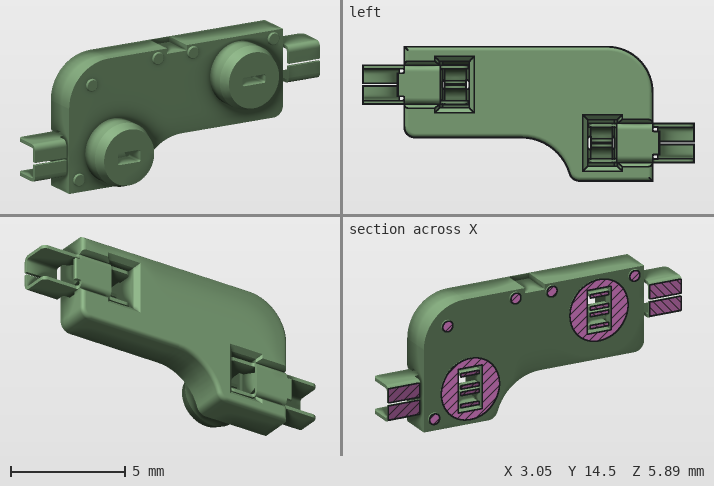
import cadquery as cq
import math


TOTAL_LENGTH = 14.5
TOTAL_HEIGHT = 5.89
TOTAL_DEPTH = 3.05

HOUSING_LENGTH = 10.88
HOUSING_DEPTH = 1.71
LOWER_EDGE_Z = -1.05
BIG_CORNER_RADIUS = 2.0
SMALL_CORNER_RADIUS = 0.48
SWEEP_RADIUS = 2.19
SWEEP_START_Y = 0.3
FACE_EDGE_RADIUS = 0.19
NOTCH_Y = (-0.45, 0.55)
NOTCH_DEPTH = 0.25

SITE_Y = 3.18
SITE_Z = 1.28
BOSS_RADIUS = 1.45
BOSS_TIP_RADIUS = 1.28
BOSS_TAPER = 0.5
PIN_SLOT_CORNER = 0.09

FOOT_RADIUS = 0.29
FOOT_HEIGHT = 0.09
FOOT_CHAMFER = 0.05
FOOT_CENTRES = [(4.95, 2.57), (0.85, 2.57), (-0.93, 2.57), (-4.29, 1.85), (-4.95, -2.38)]

SHEET = 0.16
CONTACT_HALF_WIDTH = 0.85
BEND_RADIUS = 0.28
PLATE_X = 0.09
PAD_X = 1.84
TAIL_EDGE_X = 0.36
WALL_DEPTH_X = 1.19
PLATE_INNER_Y = 3.85
PAD_START_Y = 5.65
CONTACT_INNER_Y = 2.64
OPEN_CORNER_RADIUS = 0.25
NOTCH_FILLET = 0.13
PAD_GAP = 0.12
TIP_END_Y = 5.74
TIP_HALF_WIDTH = 0.51
TIP_CHAMFER = 0.05
SPRING_Y = (2.73, 3.67)
SPRING_GAP = 0.05
SPRING_BOTTOM_X = 2.03
SPRING_TIP_X = 1.33

POCKET_FLOOR_X = 2.06
POCKET_Y = (2.6, 3.75)
POCKET_HALF_WIDTH = 1.02
POCKET_LIP_RADIUS = 0.13
RIM_DEPTH = 0.2
POCKET_LEAD_IN = 0.22
CHANNEL_LEAD_IN = 0.17
NEAR_FLOOR_BEVEL = 0.15
NEAR_SLOT_HEIGHT = 0.39
FAR_FLOOR_BEVEL = 0
FAR_SLOT_HEIGHT = 0.55
CORE_TOP_HALF_WIDTH = 0.36
GRIP_X = (0.62, 1.17)
GRIP_SLOPE_X = 1.02
GRIP_HEIGHT = 0.13

half_length = TOTAL_LENGTH / 2
half_height = TOTAL_HEIGHT / 2
end_y = HOUSING_LENGTH / 2
plate_back_x = PLATE_X + SHEET
wall_inside = CONTACT_HALF_WIDTH - SHEET
lip_y = POCKET_Y[1] + POCKET_LIP_RADIUS


def box(x_range, y_range, z_range):
    """Box between two limits on each axis."""
    size = [high - low for low, high in (x_range, y_range, z_range)]
    return cq.Workplane("XY").box(*size, centered=False).translate((x_range[0], y_range[0], z_range[0]))


def along_y(sketch_points, y_range):
    """Closed (X, Z) outline extruded between two Y limits."""
    outline = cq.Workplane("XZ", origin=(0, y_range[0], 0)).polyline(sketch_points).close()
    return outline.extrude(y_range[0] - y_range[1])


def half_turn(shape):
    """The same shape at the opposite site."""
    return shape.rotate((0, 0, 0), (1, 0, 0), 180)



def housing_block():
    """S-shaped plate with rounded edges on its outer face."""
    sweep_centre_z = LOWER_EDGE_Z - SWEEP_RADIUS
    foot_centre_z = -half_height + SMALL_CORNER_RADIUS
    centre_distance = SWEEP_RADIUS + SMALL_CORNER_RADIUS
    rise = foot_centre_z - sweep_centre_z
    run = math.sqrt(centre_distance**2 - rise**2)
    foot_centre_y = SWEEP_START_Y - run
    tangent_angle = math.atan2(rise, run)

    def on_sweep(angle):
        return (
            SWEEP_START_Y - SWEEP_RADIUS * math.cos(angle),
            sweep_centre_z + SWEEP_RADIUS * math.sin(angle),
        )

    def on_foot_corner(angle):
        return (
            foot_centre_y + SMALL_CORNER_RADIUS * math.cos(angle),
            foot_centre_z - SMALL_CORNER_RADIUS * math.sin(angle),
        )

    big_centre = (-end_y + BIG_CORNER_RADIUS, half_height - BIG_CORNER_RADIUS)
    big_middle = BIG_CORNER_RADIUS * math.sqrt(0.5)
    small_centre = (end_y - SMALL_CORNER_RADIUS, LOWER_EDGE_Z + SMALL_CORNER_RADIUS)
    small_middle = SMALL_CORNER_RADIUS * math.sqrt(0.5)
    outline = (
        cq.Workplane("YZ")
        .moveTo(end_y, half_height)
        .lineTo(big_centre[0], half_height)
        .threePointArc((big_centre[0] - big_middle, big_centre[1] + big_middle), (-end_y, big_centre[1]))
        .lineTo(-end_y, -half_height)
        .lineTo(foot_centre_y, -half_height)
        .threePointArc(on_foot_corner((tangent_angle + math.pi / 2) / 2), on_foot_corner(tangent_angle))
        .threePointArc(on_sweep((tangent_angle + math.pi / 2) / 2), (SWEEP_START_Y, LOWER_EDGE_Z))
        .lineTo(small_centre[0], LOWER_EDGE_Z)
        .threePointArc(
            (small_centre[0] + small_middle, small_centre[1] - small_middle),
            (end_y, small_centre[1]),
        )
        .close()
    )
    return outline.extrude(HOUSING_DEPTH).faces("<X").edges().fillet(FACE_EDGE_RADIUS)


def top_notch():
    """Shallow notch across the top edge, behind the outer wall."""
    return box((FACE_EDGE_RADIUS, HOUSING_DEPTH), NOTCH_Y, (half_height - NOTCH_DEPTH, half_height))


def boss():
    """Round locating boss with a tapered tip, on the back of the +Y site."""
    taper_x = TOTAL_DEPTH - BOSS_TAPER
    profile = [
        (HOUSING_DEPTH, 0),
        (HOUSING_DEPTH, BOSS_RADIUS),
        (taper_x, BOSS_RADIUS),
        (TOTAL_DEPTH, BOSS_TIP_RADIUS),
        (TOTAL_DEPTH, 0),
    ]
    turned = cq.Workplane("XY").polyline(profile).close().revolve(360, (0, 0), (1, 0))
    return turned.translate((0, SITE_Y, SITE_Z))


def foot(centre):
    """Low round foot on the back face."""
    disc = cq.Workplane("YZ", origin=(HOUSING_DEPTH, 0, 0)).center(*centre).circle(FOOT_RADIUS)
    return disc.extrude(FOOT_HEIGHT).faces(">X").chamfer(FOOT_CHAMFER)


def pocket(floor_bevel):
    """Spring pocket of the +Y site, with a sloping rim and a rounded ledge below the contact plate."""
    inner_y, outer_y = POCKET_Y
    lip_middle = POCKET_LIP_RADIUS * (1 - math.sqrt(0.5))
    well = (
        cq.Workplane("XY")
        .moveTo(RIM_DEPTH, inner_y)
        .lineTo(POCKET_FLOOR_X, inner_y)
        .lineTo(POCKET_FLOOR_X, outer_y)
        .lineTo(WALL_DEPTH_X + POCKET_LIP_RADIUS, outer_y)
        .threePointArc((WALL_DEPTH_X + lip_middle, outer_y + lip_middle), (WALL_DEPTH_X, lip_y))
        .lineTo(RIM_DEPTH, lip_y)
        .close()
        .extrude(POCKET_HALF_WIDTH, both=True)
    )
    if floor_bevel > 0:
        well = well.faces(">X").edges("|Y").chamfer(floor_bevel)
    rim = (
        cq.Workplane("YZ")
        .center((inner_y + lip_y) / 2, 0)
        .rect(lip_y - inner_y + 2 * POCKET_LEAD_IN, 2 * (POCKET_HALF_WIDTH + POCKET_LEAD_IN))
        .workplane(offset=RIM_DEPTH)
        .rect(lip_y - inner_y, 2 * POCKET_HALF_WIDTH)
        .loft()
    )
    return well.union(rim)


def channel():
    """Open channel from the +Y end to the pocket: plate recess, wall slots and grip reliefs."""
    y_range = (lip_y, end_y)
    mouth = CONTACT_HALF_WIDTH + CHANNEL_LEAD_IN
    cut = along_y(
        [
            (0, -mouth),
            (0, mouth),
            (RIM_DEPTH, CONTACT_HALF_WIDTH),
            (plate_back_x, CONTACT_HALF_WIDTH),
            (plate_back_x, -CONTACT_HALF_WIDTH),
            (RIM_DEPTH, -CONTACT_HALF_WIDTH),
        ],
        y_range,
    )
    wall_slot = [
        (plate_back_x, CORE_TOP_HALF_WIDTH),
        (plate_back_x, CONTACT_HALF_WIDTH),
        (WALL_DEPTH_X, CONTACT_HALF_WIDTH),
        (WALL_DEPTH_X, wall_inside),
    ]
    grip_relief = [
        (GRIP_X[0], wall_inside),
        (GRIP_X[0], CONTACT_HALF_WIDTH + GRIP_HEIGHT),
        (GRIP_SLOPE_X, CONTACT_HALF_WIDTH + GRIP_HEIGHT),
        (GRIP_X[1], CONTACT_HALF_WIDTH),
        (GRIP_X[1], wall_inside),
    ]
    for outline in (wall_slot, grip_relief):
        side = along_y(outline, y_range)
        cut = cut.union(side).union(side.mirror("XY"))
    return cut


def pin_slot(height):
    """Slot as wide as the pocket, from the pocket floor out through the boss."""
    slot = box((POCKET_FLOOR_X, TOTAL_DEPTH), POCKET_Y, (-height / 2, height / 2))
    return slot.edges("|X").fillet(PIN_SLOT_CORNER)


def seat(floor_bevel, slot_height):
    """All openings for the contact of the +Y site."""
    opening = pocket(floor_bevel).union(channel()).union(pin_slot(slot_height))
    return opening.translate((0, 0, SITE_Z))


def make_housing():
    """Housing with both bosses, the feet and the openings for both contacts."""
    body = housing_block().cut(top_notch())
    body = body.union(boss()).union(half_turn(boss()))
    for centre in FOOT_CENTRES:
        body = body.union(foot(centre))
    body = body.cut(seat(NEAR_FLOOR_BEVEL, NEAR_SLOT_HEIGHT))
    return body.cut(half_turn(seat(FAR_FLOOR_BEVEL, FAR_SLOT_HEIGHT)))



def folded_tube():
    """Sheet folded into a rounded rectangular tube, from which the contact is cut."""
    y_range = (CONTACT_INNER_Y, half_length)
    outer = box((PLATE_X, PAD_X), y_range, (-CONTACT_HALF_WIDTH, CONTACT_HALF_WIDTH))
    inner = box((plate_back_x, PAD_X - SHEET), y_range, (-wall_inside, wall_inside))
    outer = outer.edges("|Y").fillet(BEND_RADIUS)
    inner = inner.edges("|Y").fillet(BEND_RADIUS - SHEET)
    return outer.cut(inner)


def side_profile():
    """Side outline of the contact, as a slab as wide as the tube."""
    plate_corners = [(TAIL_EDGE_X, PLATE_INNER_Y), (TAIL_EDGE_X, end_y)]
    pad_corner = (WALL_DEPTH_X, PAD_START_Y)
    open_corners = [(TAIL_EDGE_X, CONTACT_INNER_Y), (TAIL_EDGE_X, half_length)]
    outline = [
        open_corners[1],
        (PAD_X, half_length),
        (PAD_X, PAD_START_Y),
        pad_corner,
        (WALL_DEPTH_X, CONTACT_INNER_Y),
        open_corners[0],
        plate_corners[0],
        (PLATE_X, PLATE_INNER_Y),
        (PLATE_X, end_y),
        plate_corners[1],
    ]
    slab = cq.Workplane("XY").polyline(outline).close().extrude(CONTACT_HALF_WIDTH, both=True)

    def round_corners(shape, corners, radius):
        for x, y in corners:
            shape = shape.edges(cq.NearestToPointSelector((x, y, 0))).fillet(radius)
        return shape

    slab = round_corners(slab, open_corners, OPEN_CORNER_RADIUS)
    return round_corners(slab, plate_corners + [pad_corner], NOTCH_FILLET)


def plate_tip():
    """Tongue that carries the plate past the end of the housing, with filleted shoulders."""
    tongue = box((PLATE_X, plate_back_x), (end_y, TIP_END_Y), (-TIP_HALF_WIDTH, TIP_HALF_WIDTH))
    tongue = tongue.faces("<X").edges(">Y").chamfer(TIP_CHAMFER)
    shoulder_z = CONTACT_HALF_WIDTH - BEND_RADIUS
    fillet = shoulder_z - TIP_HALF_WIDTH
    fillet_y = end_y + fillet
    fillet_middle = fillet * math.sqrt(0.5)
    shoulder = (
        cq.Workplane("YZ", origin=(PLATE_X, 0, 0))
        .moveTo(end_y, TIP_HALF_WIDTH)
        .lineTo(fillet_y, TIP_HALF_WIDTH)
        .threePointArc((fillet_y - fillet_middle, shoulder_z - fillet_middle), (end_y, shoulder_z))
        .close()
        .extrude(SHEET)
    )
    return tongue.union(shoulder).union(shoulder.mirror("XY"))


def spring():
    """U-shaped leaf that continues the +Z side wall and turns back to the middle of the pocket."""
    leg_inside = SPRING_GAP / 2
    leg_outside = leg_inside + SHEET
    turn_z = (leg_inside + CONTACT_HALF_WIDTH) / 2
    turn_x = SPRING_BOTTOM_X - (CONTACT_HALF_WIDTH - turn_z)
    return (
        cq.Workplane("XZ", origin=(0, SPRING_Y[0], 0))
        .moveTo(SPRING_TIP_X, leg_inside)
        .lineTo(turn_x, leg_inside)
        .threePointArc((SPRING_BOTTOM_X, turn_z), (turn_x, CONTACT_HALF_WIDTH))
        .lineTo(WALL_DEPTH_X, CONTACT_HALF_WIDTH)
        .lineTo(WALL_DEPTH_X, wall_inside)
        .lineTo(turn_x, wall_inside)
        .threePointArc((SPRING_BOTTOM_X - SHEET, turn_z), (turn_x, leg_outside))
        .lineTo(SPRING_TIP_X, leg_outside)
        .close()
        .extrude(SPRING_Y[0] - SPRING_Y[1])
    )


def make_contact():
    """Contact of the +Y site."""
    pad_gap = box((PAD_X - SHEET, PAD_X), (PAD_START_Y, half_length), (-PAD_GAP / 2, PAD_GAP / 2))
    body = folded_tube().intersect(side_profile()).cut(pad_gap).union(plate_tip())
    body = body.union(spring()).union(spring().mirror("XY"))
    return body.translate((0, 0, SITE_Z))



housing = make_housing()
contacts = []
for site_angle in (0, 180):
    contact = make_contact().rotate((0, 0, 0), (1, 0, 0), site_angle)
    contacts.append(contact.val())

result = cq.Compound.makeCompound([housing.val(), *contacts])